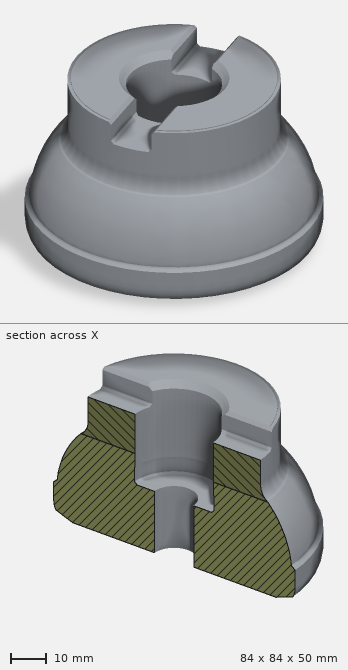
import cadquery as cq

height = 50.0
joint_height = 30.2

rim_radius = 42.0
rim_top = 11.2
rim_chamfer_height = 1.1
dome_foot_radius = 81.45 / 2
dome_foot_height = rim_top + rim_chamfer_height
dome_middle_radius = 38.55
dome_middle_height = 20.8
dome_top_radius = 32.4
cone_top_radius = 41.15
cone_top_height = 2.2
base_radius = 35.3
rim_round_top = 5.2

neck_radius = 60.0 / 2
neck_bottom = 34.9
neck_arc_middle_radius = 30.5
neck_arc_middle_height = 32.6
neck_foot_radius = 31.8
neck_foot_height = 30.65
top_step_width = 1.0
top_step_height = 0.25

hole_radius = 13.5 / 2
bore_radius = 27.0 / 2
relief_radius = 27.5 / 2
relief_top = 25.7
bore_floor = 20.15
bore_floor_chamfer = 0.75
mouth_radius = 15.5
mouth_depth = 2.0

slot_half_width = 6.2
slot_depth = 7.0
slot_top_chamfer = 1.0
slot_floor_chamfer = 0.8
slot_floor = height - slot_depth


def revolve_about_z(profile):
    """Turn a closed radius-height profile through a full circle."""
    return profile.close().revolve(360, (0, 0, 0), (0, 1, 0))


def make_bore():
    """Stepped bore: through hole, chamfered floor, relief, wide bore and flared mouth."""
    profile = (
        cq.Workplane("XZ")
        .lineTo(hole_radius, 0)
        .lineTo(hole_radius, bore_floor)
        .lineTo(relief_radius - bore_floor_chamfer, bore_floor)
        .lineTo(relief_radius, bore_floor + bore_floor_chamfer)
        .lineTo(relief_radius, relief_top)
        .lineTo(bore_radius, relief_top)
        .lineTo(bore_radius, height - mouth_depth)
        .lineTo(mouth_radius, height)
        .lineTo(0, height)
    )
    return revolve_about_z(profile)


def make_slot():
    """Slot across the hub, with chamfered mouth and chamfered floor corners."""
    right_side = [
        (slot_half_width - slot_floor_chamfer, slot_floor),
        (slot_half_width, slot_floor + slot_floor_chamfer),
        (slot_half_width, height - slot_top_chamfer),
        (slot_half_width + slot_top_chamfer, height),
    ]
    left_side = [(-x, z) for x, z in reversed(right_side)]
    return (
        cq.Workplane("XZ")
        .polyline(right_side + left_side)
        .close()
        .extrude(rim_radius, both=True)
    )


def make_head():
    """Lower body: bevelled base, rounded rim and dome, with the bore removed."""
    profile = (
        cq.Workplane("XZ")
        .moveTo(0, joint_height)
        .lineTo(dome_top_radius, joint_height)
        .threePointArc((dome_middle_radius, dome_middle_height), (dome_foot_radius, dome_foot_height))
        .lineTo(rim_radius, rim_top)
        .lineTo(rim_radius, rim_round_top)
        .tangentArcPoint((cone_top_radius, cone_top_height), relative=False)
        .lineTo(base_radius, 0)
        .lineTo(0, 0)
    )
    return revolve_about_z(profile).cut(make_bore())


def make_hub():
    """Upper body: flared neck with the drive slot and the bore removed."""
    profile = (
        cq.Workplane("XZ")
        .moveTo(0, joint_height)
        .lineTo(dome_top_radius, joint_height)
        .lineTo(neck_foot_radius, neck_foot_height)
        .threePointArc(
            (neck_arc_middle_radius, neck_arc_middle_height), (neck_radius, neck_bottom)
        )
        .lineTo(neck_radius, height - top_step_height)
        .lineTo(neck_radius - top_step_width, height - top_step_height)
        .lineTo(neck_radius - top_step_width, height)
        .lineTo(0, height)
    )
    return revolve_about_z(profile).cut(make_slot()).cut(make_bore())


head = make_head()
hub = make_hub()

result = cq.Compound.makeCompound([head.val(), hub.val()])